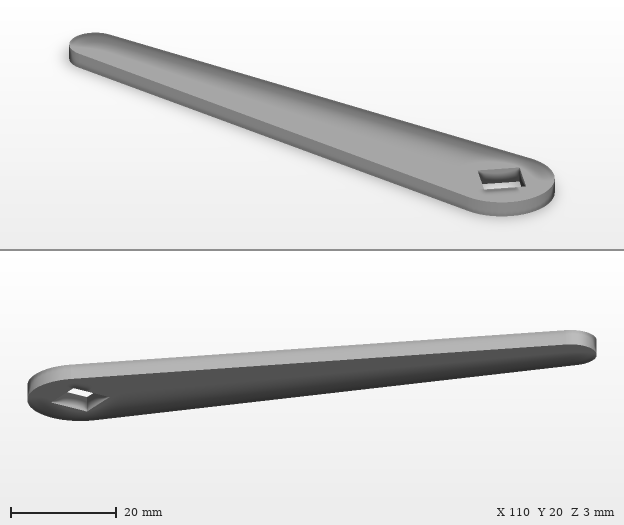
import cadquery as cq
import math

length = 110.0
thickness = 3.0
head_radius = 10.0
tip_radius = 5.0
square_side = 8.0

tip_x = head_radius + tip_radius - length
taper_sine = (head_radius - tip_radius) / abs(tip_x)
taper_cosine = math.sqrt(1 - taper_sine**2)


def tangent_point(centre_x, radius, side):
    """Point where a straight edge meets a round end; side is +1 or -1 in Y."""
    return (centre_x - radius * taper_sine, side * radius * taper_cosine)


body = (
    cq.Workplane("XY")
    .moveTo(*tangent_point(0, head_radius, -1))
    .threePointArc((head_radius, 0), tangent_point(0, head_radius, 1))
    .lineTo(*tangent_point(tip_x, tip_radius, 1))
    .threePointArc((tip_x - tip_radius, 0), tangent_point(tip_x, tip_radius, -1))
    .close()
    .extrude(thickness)
)

drive_hole = (
    cq.Workplane("XY")
    .rect(square_side, square_side)
    .extrude(thickness)
    .rotate((0, 0, 0), (0, 0, 1), 45)
)

result = body.cut(drive_hole)